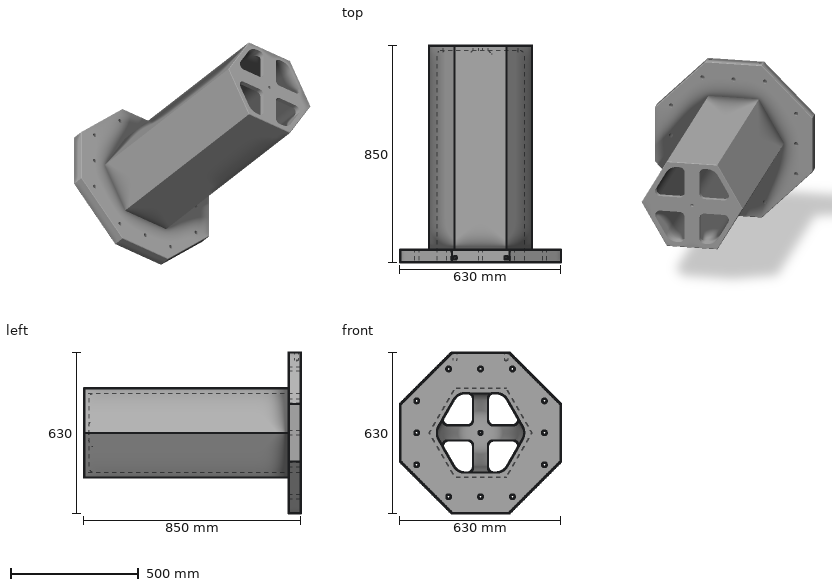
import math

import cadquery as cq

flange_size = 630.0
flange_thickness = 50.0
flange_corner_cut = 202.5
flange_edge_chamfer = 2.0

total_length = 850.0
tube_across_flats = 350.0
tube_wall = 20.0
end_wall = 20.0
tube_end_chamfer = 2.0

bore_across_flats = tube_across_flats - 2 * tube_wall
bore_corner_radius = 50.0
bore_floor_radius = 20.0
bore_depth = total_length - end_wall

spoke_width = 60.0
window_corner_radius = 20.0
center_hole_diameter = 14.0

bolt_spacing = 125.0
bolt_offset = 250.0
bolt_hole_diameter = 16.5
lifting_hole_spacing = 200.0
lifting_hole_from_face = 18.0
lifting_hole_diameter = 14.0
lifting_hole_depth = 30.0
lifting_hole_tip_angle = 118.0


def plane_at(y):
    """Plane across the part at distance y, with local axes along +X and +Z; its normal is -Y."""
    return cq.Workplane("XZ", origin=(0, y, 0))


def hexagon(y, across_flats):
    """Hexagon outline with its corners on the X axis."""
    return plane_at(y).polygon(6, across_flats / math.cos(math.pi / 6))


def make_flange():
    """Plate with cut corners, chamfered around both faces."""
    plate = plane_at(0).rect(flange_size, flange_size).extrude(-flange_thickness)
    plate = plate.edges("|Y").chamfer(flange_corner_cut)
    return plate.faces("<Y or >Y").chamfer(flange_edge_chamfer)


def make_tube():
    """Solid hexagonal bar, chamfered around its closed end."""
    tube = hexagon(0, tube_across_flats).extrude(-total_length)
    return tube.faces(">Y").chamfer(tube_end_chamfer)


def make_bore_prism(depth):
    """Hexagonal prism with rounded corners, starting at the flange face."""
    prism = hexagon(0, bore_across_flats).extrude(-depth)
    return prism.edges("|Y").fillet(bore_corner_radius)


def make_bore():
    """Blind bore with a fillet around its floor."""
    return make_bore_prism(bore_depth).faces(">Y").edges().fillet(bore_floor_radius)


def make_window():
    """Opening between two spokes, in the +X +Z quarter of the end wall."""
    spoke_half = spoke_width / 2
    quarter = plane_at(0).moveTo(spoke_half, spoke_half)
    quarter = quarter.rect(flange_size, flange_size, centered=False).extrude(-total_length)
    window = make_bore_prism(total_length).intersect(quarter)
    spoke_corners = window.edges("|Y").edges("<X or <Z")
    return spoke_corners.fillet(window_corner_radius)


def make_windows():
    """Four openings that leave a cross of spokes in the end wall."""
    upper = make_window()
    upper = upper.union(upper.mirror("YZ"))
    return upper.union(upper.mirror("XY"))


def make_bolt_holes():
    """Three holes along each side of the bolt square."""
    places = []
    for step in (-1, 0, 1):
        for side in (-1, 1):
            places.append((step * bolt_spacing, side * bolt_offset))
            places.append((side * bolt_offset, step * bolt_spacing))
    return plane_at(0).pushPoints(places).circle(bolt_hole_diameter / 2).extrude(-flange_thickness)


def make_lifting_holes():
    """Two blind drilled holes, with pointed bottoms, in the upper edge of the flange."""
    radius = lifting_hole_diameter / 2
    tip_height = radius / math.tan(math.radians(lifting_hole_tip_angle / 2))
    profile = cq.Workplane("XZ").lineTo(radius, 0).lineTo(radius, -lifting_hole_depth)
    profile = profile.lineTo(0, -lifting_hole_depth - tip_height).close()
    drill = profile.revolve(360, (0, 0, 0), (0, 1, 0)).val()
    edge = cq.Workplane("XY", origin=(0, lifting_hole_from_face, flange_size / 2))
    places = edge.pushPoints([(-lifting_hole_spacing / 2, 0), (lifting_hole_spacing / 2, 0)])
    return places.eachpoint(drill.moved, combine="a")


def make_center_hole():
    """Hole through the middle of the spoke cross."""
    return plane_at(0).circle(center_hole_diameter / 2).extrude(-total_length)


result = make_flange().union(make_tube())
result = result.cut(make_bore()).cut(make_windows()).cut(make_center_hole())
result = result.cut(make_bolt_holes()).cut(make_lifting_holes())